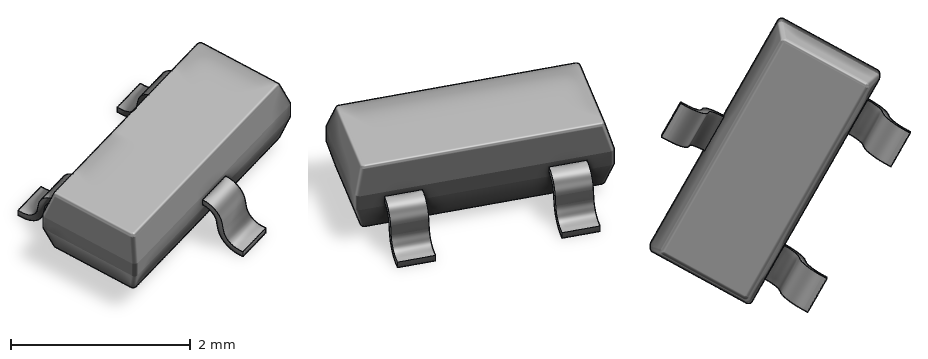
import cadquery as cq
import math

BODY_LENGTH = 3.0
SPAN = 2.4

BODY_WIDTH = 1.295
BODY_HEIGHT = 0.9
STANDOFF = 0.1
BELT_HEIGHT = 0.2
DRAFT_ANGLE = 15.0
EDGE_RADIUS = 0.05

LEAD_WIDTH = 0.44
LEAD_THICKNESS = 0.08
LEAD_PITCH = 0.95
LEG_ANGLE = 80.0
SHOULDER_FLAT = 0.015
SHOULDER_RADIUS = 0.215
ANKLE_RADIUS = 0.25

MID_HEIGHT = STANDOFF + BODY_HEIGHT / 2


def make_housing_half(direction):
    """Tapered half from mid-height towards +Z (direction 1) or -Z (direction -1)."""
    belt_half = BELT_HEIGHT / 2
    taper_height = BODY_HEIGHT / 2 - belt_half
    belt = (
        cq.Workplane("XY", origin=(0, 0, MID_HEIGHT))
        .rect(BODY_WIDTH, BODY_LENGTH)
        .extrude(direction * belt_half)
    )
    taper = (
        cq.Workplane("XY", origin=(0, 0, MID_HEIGHT + direction * belt_half))
        .rect(BODY_WIDTH, BODY_LENGTH)
        .extrude(direction * taper_height, taper=DRAFT_ANGLE)
    )
    return belt.union(taper)


def make_housing():
    """Both halves joined, with the corner edges and the top and bottom rims rounded."""
    block = make_housing_half(1).union(make_housing_half(-1)).clean()
    corner_edges = block.edges("not #Z")
    rounded = corner_edges.fillet(EDGE_RADIUS)
    return rounded.faces("<Z or >Z").edges().fillet(EDGE_RADIUS)


def bend_offset(radius, angle):
    """Run along X and drop along Z of an arc that leaves the horizontal and turns by angle."""
    return radius * math.sin(angle), radius * (1 - math.cos(angle))


def make_lead(y_centre):
    """Lead on the +X side: an S-shaped strip from the housing wall down to its foot."""
    angle = math.radians(LEG_ANGLE)
    shoulder_run, shoulder_drop = bend_offset(SHOULDER_RADIUS, angle)
    shoulder_mid_run, shoulder_mid_drop = bend_offset(SHOULDER_RADIUS, angle / 2)
    ankle_run, ankle_rise = bend_offset(ANKLE_RADIUS, angle)
    ankle_mid_run, ankle_mid_rise = bend_offset(ANKLE_RADIUS, angle / 2)

    wall_x = BODY_WIDTH / 2
    shoulder_x = wall_x + SHOULDER_FLAT
    foot_z = LEAD_THICKNESS / 2
    leg_top_x = shoulder_x + shoulder_run
    leg_top_z = MID_HEIGHT - shoulder_drop
    leg_bottom_z = foot_z + ankle_rise
    leg_bottom_x = leg_top_x + (leg_top_z - leg_bottom_z) / math.tan(angle)
    foot_x = leg_bottom_x + ankle_run
    shoulder_mid = (shoulder_x + shoulder_mid_run, MID_HEIGHT - shoulder_mid_drop)
    ankle_mid = (foot_x - ankle_mid_run, foot_z + ankle_mid_rise)
    centreline = (
        cq.Workplane("XZ", origin=(0, y_centre, 0))
        .moveTo(wall_x, MID_HEIGHT)
        .lineTo(shoulder_x, MID_HEIGHT)
        .threePointArc(shoulder_mid, (leg_top_x, leg_top_z))
        .lineTo(leg_bottom_x, leg_bottom_z)
        .threePointArc(ankle_mid, (foot_x, foot_z))
        .lineTo(SPAN / 2, foot_z)
    )
    return (
        cq.Workplane("YZ", origin=(wall_x, y_centre, MID_HEIGHT))
        .rect(LEAD_WIDTH, LEAD_THICKNESS)
        .sweep(centreline)
    )


def make_leads():
    """One lead centred on the +X side and a pair on the -X side."""
    leads = [make_lead(0)]
    for y_centre in (-LEAD_PITCH, LEAD_PITCH):
        leads.append(make_lead(y_centre).mirror("YZ"))
    return leads


housing = make_housing()
leads = make_leads()
result = cq.Compound.makeCompound([housing.val(), *[lead.val() for lead in leads]])